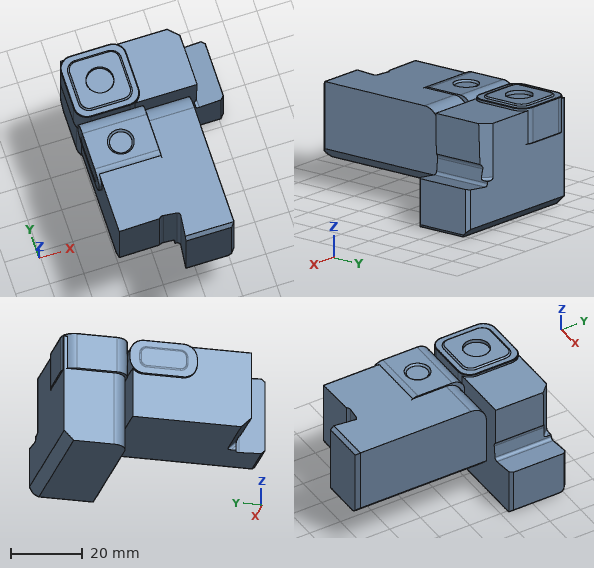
import cadquery as cq
import math

LENGTH = 42.1
HEIGHT = 31.35
ARM_FACE = 34.05
ARM_FACE_DRAFT = 0.25
RELIEF_TOP = 19.4
RELIEF_SETBACK = 0.55
RELIEF_ROUND_HEIGHT = 1.3
STEP_TIP = 14.4
STEP_TILT = 6.5
STEP_FILLET = 0.9
ARM_CHAMFER_FLOOR = 14.9
ARM_CHAMFER_RUN_OUT = 0.75

SQUARE_DEPTH = 18.3
SQUARE_END_FILLET = 4.0
SQUARE_BACK_CHAMFER = 2.7
SQUARE_ARM_CHAMFER = 2.85
SQUARE_NOSE_CHAMFER = 1.0

OVAL_DEPTH = 22.65
OVAL_END_FILLET = 5.1
OVAL_BACK_CHAMFER = 3.1
OVAL_ARM_CHAMFER = 3.0
OVAL_NOSE_CHAMFER = 1.05
OVAL_CORNER = (31.2, -1.3, 31.6)

END_OVERHANG = 0.9
TOP_OVERHANG = 0.8
SIDE_OVERHANG = 0.4

SQUARE_CAP_WIDTH = 19.05
SQUARE_CAP_HEIGHT = 10.55
SQUARE_CAP_CORNER = 3.85
SQUARE_CAP_RIM = 0.2
SQUARE_PAD_WIDTH = 15.6
SQUARE_PAD_CORNER = 3.05
SQUARE_PAD_HEIGHT = 0.4
SQUARE_PAD_BEVEL = 0.5
SOCKET_DIAMETER = 7.75
SOCKET_DEPTH = 1.05

OVAL_CAP_LENGTH = 18.9
OVAL_CAP_WIDTH = 19.25
OVAL_CAP_THICKNESS = 9.9
OVAL_CAP_CORNER = 4.05
OVAL_PAD_WIDTH = 13.8
OVAL_PAD_THICKNESS = 6.15
OVAL_PAD_CORNER = 2.05
OVAL_PAD_HEIGHT = 0.1
OVAL_PAD_BEVEL = 0.45
DIMPLE_DIAMETER = 6.3
DIMPLE_DEPTH = 0.55
DIMPLE_FLARE = 45


def stepped_block(depth):
    """Profile with the arm, the relief and the tilted step, extruded along +Y."""
    slope = math.tan(math.radians(STEP_TILT))
    arm_foot = ARM_FACE - ARM_FACE_DRAFT
    relief_x = arm_foot - RELIEF_SETBACK
    relief_z = RELIEF_TOP - RELIEF_ROUND_HEIGHT
    rise = relief_z - STEP_TIP + slope * (LENGTH - relief_x)
    root_z = relief_z - rise / (1 + slope**2)
    root_x = relief_x + slope * (relief_z - root_z)
    block = (
        cq.Workplane("XZ")
        .lineTo(LENGTH, 0)
        .lineTo(LENGTH, STEP_TIP)
        .lineTo(root_x, root_z)
        .lineTo(relief_x, relief_z)
        .tangentArcPoint((arm_foot, RELIEF_TOP), relative=False)
        .lineTo(ARM_FACE, HEIGHT)
        .lineTo(0, HEIGHT)
        .close()
        .extrude(-depth)
    )
    root = cq.selectors.NearestToPointSelector((root_x, depth / 2, root_z))
    return block.edges(root).fillet(STEP_FILLET)


def back_chamfer_cutter(depth, size):
    """Prism that takes off the lower edge on the +Y side, over the full length."""
    corner = [(depth, 0), (depth - size, 0), (depth, size)]
    return cq.Workplane("YZ").polyline(corner).close().extrude(LENGTH)


def arm_chamfer_cutter(depth, size):
    """Prism that takes off the arm's vertical edge on the +Y side, with a rounded run-out at its floor."""
    reach = LENGTH - ARM_FACE + size
    corner = [(LENGTH, depth), (LENGTH - reach, depth), (LENGTH, depth - reach)]
    prism = (
        cq.Workplane("XY", origin=(0, 0, ARM_CHAMFER_FLOOR))
        .polyline(corner)
        .close()
        .extrude(HEIGHT - ARM_CHAMFER_FLOOR)
    )
    run_out = (LENGTH - reach / 2, depth - reach / 2, ARM_CHAMFER_FLOOR)
    return prism.edges(cq.selectors.NearestToPointSelector(run_out)).fillet(ARM_CHAMFER_RUN_OUT)


def make_housing(depth, end_fillet, back_chamfer, arm_chamfer, nose_chamfer):
    housing = stepped_block(depth)
    housing = housing.edges("|Z and <X and <Y").fillet(end_fillet)
    housing = housing.faces(">X").edges("|Z or <Z").chamfer(nose_chamfer)
    housing = housing.cut(back_chamfer_cutter(depth, back_chamfer))
    return housing.cut(arm_chamfer_cutter(depth, arm_chamfer))


def lay_flat(housing):
    """Mirror a housing and turn its length to -Y, its height to -X and its depth to -Z."""
    return housing.mirror("XZ").rotate((0, 0, 0), (1, -1, -1), 120).translate(OVAL_CORNER)


def rounded_block(plane, width, thickness, corner, height, taper=0):
    outline = cq.Sketch().rect(width, thickness).vertices().fillet(corner)
    return cq.Workplane(plane).placeSketch(outline).extrude(height, taper=taper)


def bevelled_pad(plane, width, thickness, corner, height, bevel):
    """Low pad whose sides lean in by the bevel over its height."""
    lean = math.degrees(math.atan(bevel / height))
    return rounded_block(plane, width, thickness, corner, height, lean)


square_cap_face = cq.Plane(
    origin=(
        SQUARE_CAP_WIDTH / 2 - END_OVERHANG,
        SQUARE_CAP_WIDTH / 2 - SIDE_OVERHANG,
        HEIGHT + TOP_OVERHANG,
    ),
    xDir=(1, 0, 0),
    normal=(0, 0, 1),
)


def square_cap_body():
    """The cap without its pad and socket, which is also the shape of its recess."""
    body = rounded_block(
        square_cap_face, SQUARE_CAP_WIDTH, SQUARE_CAP_WIDTH, SQUARE_CAP_CORNER, -SQUARE_CAP_HEIGHT
    )
    return body.faces(">Z").chamfer(SQUARE_CAP_RIM)


def make_square_cap():
    pad = bevelled_pad(
        square_cap_face,
        SQUARE_PAD_WIDTH,
        SQUARE_PAD_WIDTH,
        SQUARE_PAD_CORNER,
        SQUARE_PAD_HEIGHT,
        SQUARE_PAD_BEVEL,
    )
    socket = (
        cq.Workplane(square_cap_face)
        .workplane(offset=SQUARE_PAD_HEIGHT)
        .circle(SOCKET_DIAMETER / 2)
        .extrude(-SOCKET_DEPTH)
    )
    return square_cap_body().union(pad).cut(socket)


oval_x, oval_y, oval_z = OVAL_CORNER
oval_cap_top = oval_z + SIDE_OVERHANG
oval_cap_face = cq.Plane(
    origin=(
        oval_x - HEIGHT - TOP_OVERHANG,
        oval_y + END_OVERHANG - OVAL_CAP_WIDTH / 2,
        oval_cap_top - OVAL_CAP_THICKNESS / 2,
    ),
    xDir=(0, -1, 0),
    normal=(-1, 0, 0),
)


def oval_cap_body():
    """The cap without its pad and dimple, which is also the shape of its recess."""
    return rounded_block(
        oval_cap_face, OVAL_CAP_WIDTH, OVAL_CAP_THICKNESS, OVAL_CAP_CORNER, -OVAL_CAP_LENGTH
    )


def make_oval_cap():
    pad = bevelled_pad(
        oval_cap_face,
        OVAL_PAD_WIDTH,
        OVAL_PAD_THICKNESS,
        OVAL_PAD_CORNER,
        OVAL_PAD_HEIGHT,
        OVAL_PAD_BEVEL,
    )
    dimple_center = (
        oval_cap_face.origin.x + OVAL_CAP_LENGTH / 2,
        oval_cap_face.origin.y,
        oval_cap_top - DIMPLE_DEPTH,
    )
    dimple = (
        cq.Workplane("XY", origin=dimple_center)
        .circle(DIMPLE_DIAMETER / 2)
        .extrude(DIMPLE_DEPTH, taper=-DIMPLE_FLARE)
    )
    return oval_cap_body().union(pad).cut(dimple)


square_housing = make_housing(
    SQUARE_DEPTH,
    SQUARE_END_FILLET,
    SQUARE_BACK_CHAMFER,
    SQUARE_ARM_CHAMFER,
    SQUARE_NOSE_CHAMFER,
).cut(square_cap_body())

oval_housing = lay_flat(
    make_housing(
        OVAL_DEPTH,
        OVAL_END_FILLET,
        OVAL_BACK_CHAMFER,
        OVAL_ARM_CHAMFER,
        OVAL_NOSE_CHAMFER,
    )
).cut(oval_cap_body())

square_cap = make_square_cap()
oval_cap = make_oval_cap()

result = cq.Compound.makeCompound(
    [body.solids().val() for body in (square_housing, square_cap, oval_housing, oval_cap)]
)